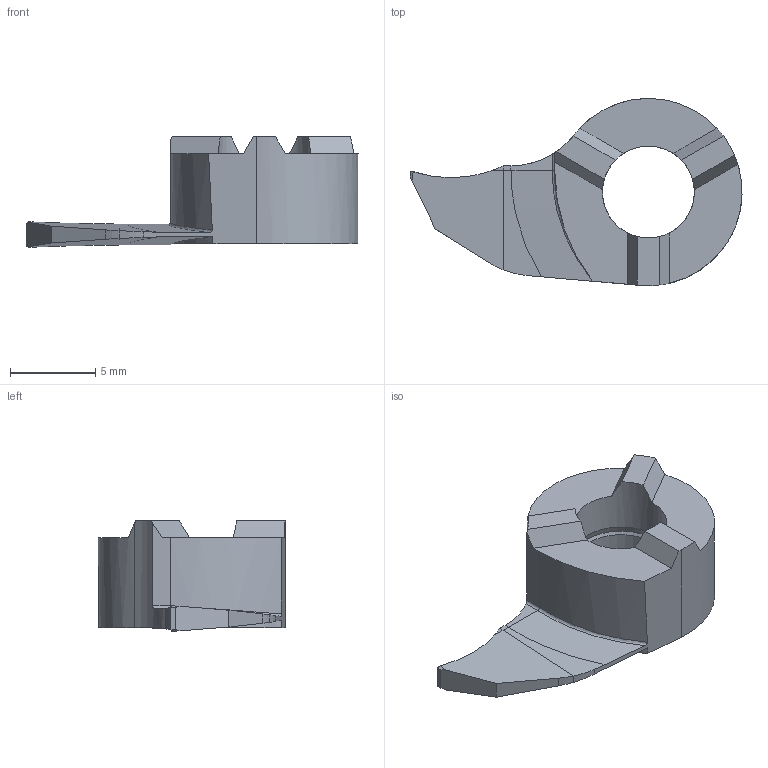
import cadquery as cq
import math

RING_RADIUS = 5.5
RING_HEIGHT = 5.3
BORE_RADIUS = 2.7
TOOTH_HEIGHT = 1.0
TOOTH_TOP_WIDTH = 1.3
TOOTH_FLANK_ANGLE = 30.0
TOOTH_DIRECTIONS = (30.0, 150.0, 270.0)
TOTAL_HEIGHT = RING_HEIGHT + TOOTH_HEIGHT

GROOVE_TOP = 3.05
GROOVE_MIDDLE = 2.68
GROOVE_BOTTOM = 2.49
GROOVE_DEPTH = 0.1

NOSE_X = -14.0
NOSE_TOP_Y = 1.24
NOSE_BOTTOM_Y = 0.95
HEEL = (-12.51, -2.17)
RAKE_LOW_POINT = (-11.53, 0.85)
JOINT_X = -8.53
SHOULDER_X = -8.07
SHOULDER_Y = 1.55
BACK_ANGLE = 32.0
BELLY_ANGLE = 5.0
KNEE_RADIUS = 5.0

ARM_MIDDLE_Z = 0.55
NOSE_HALF_THICKNESS = 0.755
NOSE_CHAMFER_LENGTH = 0.18
NOSE_CHAMFER_HEIGHT = 0.1
NECK_HALF_THICKNESS = 0.6
CREST_Y = 1.26
TIP_THINNING = 0.066
CREASE_RADIUS = 11.8

WALL_X = -5.5
WALL_TOP_RADIUS = 10.6
WALL_FOOT_RADIUS = 9.8
WALL_FILLET = 0.15

Y_LOW = -6.0
Y_HIGH = 6.0
X_HIGH = 6.0

PROBE_Y = -2.1


def arc_x(start_x, radius, y):
    """X of an arc that leaves the line x = start_x at CREST_Y and bends towards +X below it."""
    return start_x + radius - math.sqrt(radius**2 - (y - CREST_Y)**2)


def right_of_arc(start_x, radius, z):
    """Closed profile at height z of everything on the +X side of a straight-then-curved edge."""
    middle_y = (CREST_Y + Y_LOW) / 2
    return (
        cq.Workplane("XY", origin=(0, 0, z))
        .moveTo(start_x, Y_HIGH)
        .lineTo(start_x, CREST_Y)
        .threePointArc((arc_x(start_x, radius, middle_y), middle_y), (arc_x(start_x, radius, Y_LOW), Y_LOW))
        .lineTo(X_HIGH, Y_LOW)
        .lineTo(X_HIGH, Y_HIGH)
        .close()
    )


def knee_point():
    """Corner where the back edge and the belly edge would meet without rounding."""
    belly = math.radians(BELLY_ANGLE)
    back_slope = -math.tan(math.radians(BACK_ANGLE))
    belly_slope = -math.tan(belly)
    belly_y_at_axis = -RING_RADIUS / math.cos(belly)
    x = (belly_y_at_axis - HEEL[1] + back_slope * HEEL[0]) / (back_slope - belly_slope)
    return x, belly_y_at_axis + belly_slope * x


def silhouette(height):
    """Plan outline of ring and arm together, standing on the lowest level of the part."""
    belly = math.radians(BELLY_ANGLE)
    belly_tangent = (-RING_RADIUS * math.sin(belly), -RING_RADIUS * math.cos(belly))

    neck_radius = (SHOULDER_X**2 + SHOULDER_Y**2 - RING_RADIUS**2) / (2 * (RING_RADIUS - SHOULDER_Y))
    neck_center = (SHOULDER_X, SHOULDER_Y + neck_radius)
    neck_angle = math.atan2(-neck_center[1], -neck_center[0])
    middle_angle = (neck_angle - math.pi / 2) / 2
    ring_share = RING_RADIUS / (RING_RADIUS + neck_radius)
    neck_end = (neck_center[0] * ring_share, neck_center[1] * ring_share)
    neck_middle = (
        neck_center[0] + neck_radius * math.cos(middle_angle),
        neck_center[1] + neck_radius * math.sin(middle_angle),
    )

    knee = knee_point()
    return (
        cq.Workplane("XY", origin=(0, 0, ARM_MIDDLE_Z - NOSE_HALF_THICKNESS))
        .moveTo(*belly_tangent)
        .lineTo(*knee)
        .lineTo(*HEEL)
        .lineTo(NOSE_X, NOSE_BOTTOM_Y)
        .lineTo(NOSE_X, NOSE_TOP_Y)
        .threePointArc(RAKE_LOW_POINT, (JOINT_X, SHOULDER_Y))
        .lineTo(SHOULDER_X, SHOULDER_Y)
        .threePointArc(neck_middle, neck_end)
        .threePointArc((RING_RADIUS, 0), belly_tangent)
        .close()
        .extrude(height)
        .edges(cq.selectors.NearestToPointSelector((*knee, ARM_MIDDLE_Z)))
        .fillet(KNEE_RADIUS)
    )


def wedge(x_start, half_start, x_end, half_end, thinning):
    """Arm slab between two X stations, level above CREST_Y and thinning towards -Y."""
    edge_loss = thinning * (CREST_Y - Y_LOW)

    def section(half):
        return [
            (Y_HIGH, half),
            (CREST_Y, half),
            (Y_LOW, half - edge_loss),
            (Y_LOW, edge_loss - half),
            (CREST_Y, -half),
            (Y_HIGH, -half),
        ]

    return (
        cq.Workplane("YZ", origin=(x_start, 0, ARM_MIDDLE_Z))
        .polyline(section(half_start))
        .close()
        .workplane(offset=x_end - x_start)
        .polyline(section(half_end))
        .close()
        .loft(ruled=True)
    )


def tip_half_thickness(x):
    """Half thickness of the outer taper along the crest."""
    thickest_x = NOSE_X + NOSE_CHAMFER_LENGTH
    taper = (NOSE_HALF_THICKNESS - NECK_HALF_THICKNESS) / (SHOULDER_X - thickest_x)
    return NOSE_HALF_THICKNESS - taper * (x - thickest_x)


def outer_taper(x_start, x_end):
    return wedge(x_start, tip_half_thickness(x_start), x_end, tip_half_thickness(x_end), TIP_THINNING)


def tooth(direction):
    """Trapezoidal radial tooth, reaching from the axis past the ring."""
    half_top = TOOTH_TOP_WIDTH / 2
    half_root = half_top + TOOTH_HEIGHT * math.tan(math.radians(TOOTH_FLANK_ANGLE))
    return (
        cq.Workplane("YZ")
        .moveTo(-half_root, RING_HEIGHT)
        .lineTo(-half_top, TOTAL_HEIGHT)
        .lineTo(half_top, TOTAL_HEIGHT)
        .lineTo(half_root, RING_HEIGHT)
        .close()
        .extrude(2 * RING_RADIUS)
        .rotate((0, 0, 0), (0, 0, 1), direction)
    )


def bore():
    """Through bore with its V groove, as a solid of revolution to cut away."""
    groove_radius = BORE_RADIUS + GROOVE_DEPTH
    return (
        cq.Workplane("XZ")
        .moveTo(0, 0)
        .lineTo(BORE_RADIUS, 0)
        .lineTo(BORE_RADIUS, GROOVE_BOTTOM)
        .lineTo(groove_radius, GROOVE_MIDDLE)
        .lineTo(BORE_RADIUS, GROOVE_TOP)
        .lineTo(BORE_RADIUS, TOTAL_HEIGHT)
        .lineTo(0, TOTAL_HEIGHT)
        .close()
        .revolve(360, (0, 0, 0), (0, 1, 0))
    )


def ring(outline):
    """Collar with teeth; its wall towards the arm leans out slightly at the belly side."""
    foot = right_of_arc(WALL_X, WALL_FOOT_RADIUS, 0).wires().val()
    top = right_of_arc(WALL_X, WALL_TOP_RADIUS, RING_HEIGHT).wires().val()
    collar = cq.Workplane(cq.Solid.makeLoft([foot, top], True))
    teeth = right_of_arc(WALL_X, WALL_TOP_RADIUS, RING_HEIGHT).extrude(TOOTH_HEIGHT)
    tooth_prisms = tooth(TOOTH_DIRECTIONS[0])
    for direction in TOOTH_DIRECTIONS[1:]:
        tooth_prisms = tooth_prisms.union(tooth(direction))
    return collar.union(teeth.intersect(tooth_prisms)).intersect(outline)


def neck(outline):
    """Holder part of the arm: outer taper up to the crease, then the crease section carried along X."""
    bottom = ARM_MIDDLE_Z - NOSE_HALF_THICKNESS
    thickness = 2 * NOSE_HALF_THICKNESS
    beyond_crease = right_of_arc(SHOULDER_X, CREASE_RADIUS, bottom).extrude(thickness)
    inside_wall = right_of_arc(WALL_X, WALL_FOOT_RADIUS, bottom).extrude(thickness)
    arm = outer_taper(JOINT_X, WALL_X).cut(beyond_crease)

    straight_face = (SHOULDER_X, (CREST_Y + Y_HIGH) / 2, ARM_MIDDLE_Z)
    curved_face = (arc_x(SHOULDER_X, CREASE_RADIUS, PROBE_Y), PROBE_Y, ARM_MIDDLE_Z)
    crease_faces = [
        arm.faces(cq.selectors.NearestToPointSelector(point)).val()
        for point in (straight_face, curved_face)
    ]
    for face in crease_faces:
        arm = arm.union(cq.Workplane(cq.Solid.extrudeLinear(face, cq.Vector(-SHOULDER_X, 0, 0))))
    return arm.cut(inside_wall).intersect(outline)


def wall_foot_edges(holder):
    """Upper edges between the neck and the ring wall: one straight, one curved."""
    neck_top = ARM_MIDDLE_Z + NECK_HALF_THICKNESS
    probe_top = neck_top - TIP_THINNING * (CREST_Y - PROBE_Y)
    straight_edge = (WALL_X, (CREST_Y + SHOULDER_Y) / 2, neck_top)
    curved_edge = (arc_x(WALL_X, WALL_FOOT_RADIUS, PROBE_Y), PROBE_Y, probe_top)
    straight = holder.edges(cq.selectors.NearestToPointSelector(straight_edge))
    return straight.add(holder.edges(cq.selectors.NearestToPointSelector(curved_edge)))


def make_holder(outline):
    holder = ring(outline).union(neck(outline))
    holder = wall_foot_edges(holder).fillet(WALL_FILLET)
    return holder.cut(bore())


def nose_chamfer_cutters():
    """Triangular prisms that break the top and bottom edges of the nose."""
    half = NOSE_HALF_THICKNESS
    triangle = [
        (NOSE_X, half - NOSE_CHAMFER_HEIGHT),
        (NOSE_X + NOSE_CHAMFER_LENGTH, half),
        (NOSE_X, half + NOSE_CHAMFER_HEIGHT),
    ]
    upper = (
        cq.Workplane("XZ", origin=(0, 0, ARM_MIDDLE_Z))
        .polyline(triangle)
        .close()
        .extrude(Y_HIGH, both=True)
    )
    lower = upper.mirror("XY", (0, 0, ARM_MIDDLE_Z))
    return upper, lower


def make_cutting_tip(outline):
    tip = outer_taper(NOSE_X, JOINT_X).intersect(outline)
    for cutter in nose_chamfer_cutters():
        tip = tip.cut(cutter)
    return tip


plan = silhouette(TOTAL_HEIGHT - ARM_MIDDLE_Z + NOSE_HALF_THICKNESS)
holder = make_holder(plan)
cutting_tip = make_cutting_tip(plan)

result = cq.Compound.makeCompound([holder.solids().val(), cutting_tip.solids().val()])